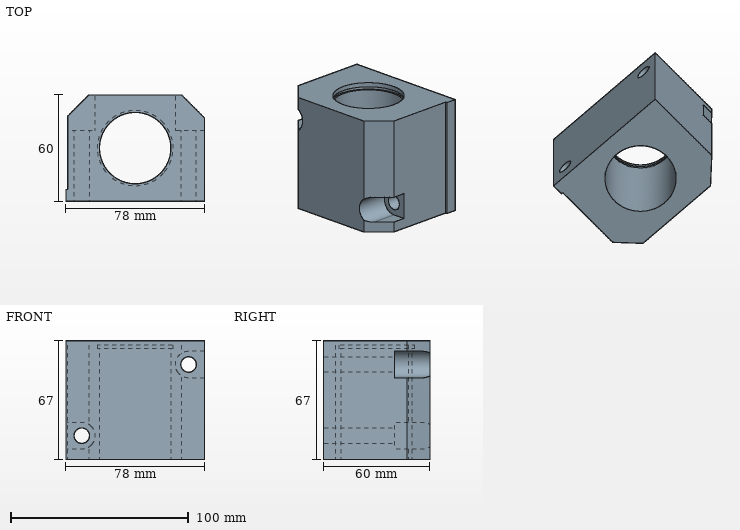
import cadquery as cq

width = 78.0
depth = 60.0
height = 67.0

lip_overhang = 1.0
lip_depth = 6.7

left_bevel = 12.0
right_bevel = 13.0

bore_diameter = 40.0
bore_x = width / 2
bore_y = depth / 2
groove_diameter = 42.5
groove_width = 1.9
groove_offset = 2.5

bolt_diameter = 8.6
bolt_x = 9.0
bolt_z = 13.5
seat_diameter = 15.0
seat_depth = 20.0


def make_block():
    outline = [
        (0, 0),
        (width, 0),
        (width, depth - right_bevel),
        (width - right_bevel, depth),
        (lip_overhang + left_bevel, depth),
        (lip_overhang, depth - left_bevel),
        (lip_overhang, lip_depth),
        (0, lip_depth),
    ]
    return cq.Workplane("XY").polyline(outline).close().extrude(height)


def vertical_cylinder(diameter, bottom, length):
    base = cq.Workplane("XY", origin=(bore_x, bore_y, bottom))
    return base.circle(diameter / 2).extrude(length)


def make_bore():
    bore = vertical_cylinder(bore_diameter, 0, height)
    groove_bottom = height - groove_offset - groove_width
    return bore.union(vertical_cylinder(groove_diameter, groove_bottom, groove_width))


def make_bolt_cut(x, z, outward):
    """Through hole and round-ended seat, open to the side given by outward (-1 or 1)."""
    rear_to_front = cq.Workplane("XZ", origin=(x, depth, z))
    hole = rear_to_front.circle(bolt_diameter / 2).extrude(depth)
    round_end = rear_to_front.circle(seat_diameter / 2).extrude(seat_depth)
    side_opening = (
        rear_to_front.center(outward * bolt_x / 2, 0)
        .rect(bolt_x, seat_diameter)
        .extrude(seat_depth)
    )
    return hole.union(round_end).union(side_opening)


result = (
    make_block()
    .cut(make_bore())
    .cut(make_bolt_cut(bolt_x, bolt_z, -1))
    .cut(make_bolt_cut(width - bolt_x, height - bolt_z, 1))
)